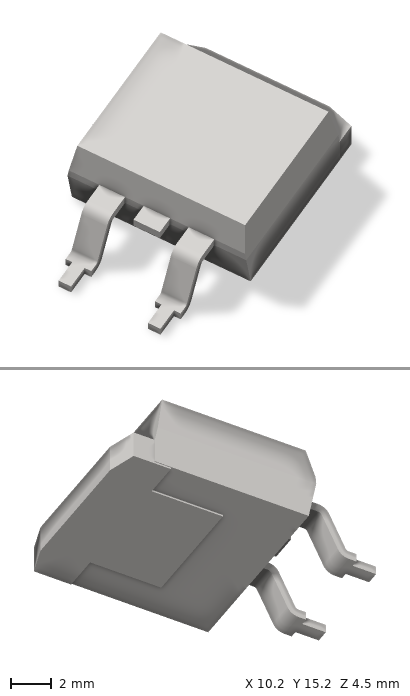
import cadquery as cq
import math


overall_length = 15.24
body_width = 10.16
body_top = 4.5
tab_rear = overall_length / 2
lead_end = -overall_length / 2

body_bottom = 0.1
body_rear = 5.98
rear_slope_bottom = 1.45
body_front = -3.06
top_rear = 5.395
top_front = -2.64
top_width = 9.54

tab_width = 10.08
tab_thickness = 1.5
tab_corner_length = 0.48
tab_tip_width = 7.04
tab_full_width_front = 5.06
pad_front = 1.08
pad_width = 6.22

lead_thickness = 0.48
lead_top = 2.8
lead_bottom = lead_top - lead_thickness
lead_pitch = 5.08
lead_width = 1.46
lead_tip_width = 0.71
lead_bend_start = -4.18
lead_shoulder = -6.31
bend_inner_radius = 0.2
bend_angle = math.radians(63.5)
centre_lead_width = 1.5
centre_lead_end = -4.04
lead_embed = 0.5


def block(width, y_front, y_rear, z_low, z_high, x_centre=0):
    """Box centred on x_centre, spanning the given Y and Z limits."""
    return (
        cq.Workplane("XY", origin=(x_centre, (y_front + y_rear) / 2, z_low))
        .box(width, y_rear - y_front, z_high - z_low, centered=(True, True, False))
    )


def make_body():
    """Body as the common volume of its side outline and its front outline."""
    side_outline = [
        (top_front, body_bottom),
        (body_front, lead_bottom),
        (body_front, lead_top),
        (top_front, body_top),
        (top_rear, body_top),
        (body_rear, rear_slope_bottom),
        (body_rear, body_bottom),
    ]
    front_outline = [
        (-body_width / 2, body_bottom),
        (-body_width / 2, lead_bottom),
        (-top_width / 2, body_top),
        (top_width / 2, body_top),
        (body_width / 2, lead_bottom),
        (body_width / 2, body_bottom),
    ]
    side_prism = cq.Workplane("YZ").polyline(side_outline).close().extrude(body_width / 2, both=True)
    front_prism = cq.Workplane("XZ").polyline(front_outline).close().extrude(overall_length / 2, both=True)
    return side_prism.intersect(front_prism)


def make_tab():
    """Rear tab with cut corners, plus the narrower pad exposed under the body."""
    corner_start = tab_rear - tab_corner_length
    plan = [
        (-tab_width / 2, tab_full_width_front),
        (-tab_width / 2, corner_start),
        (-tab_tip_width / 2, tab_rear),
        (tab_tip_width / 2, tab_rear),
        (tab_width / 2, corner_start),
        (tab_width / 2, tab_full_width_front),
    ]
    tab = cq.Workplane("XY").polyline(plan).close().extrude(tab_thickness)
    pad = block(pad_width, pad_front, tab_full_width_front, 0, tab_thickness)
    return tab.union(pad)


def make_gull_wing_lead(x_centre):
    """Lead strip swept along its bent centreline, ending in a narrow tip."""
    upper_z = lead_top - lead_thickness / 2
    lower_z = lead_thickness / 2
    drop = upper_z - lower_z
    bend_radius = bend_inner_radius + lead_thickness / 2
    bend_run = bend_radius * math.sin(bend_angle)
    bend_drop = bend_radius * (1 - math.cos(bend_angle))
    slope_drop = drop - 2 * bend_drop
    slope_run = slope_drop / math.tan(bend_angle)

    slope_start = lead_bend_start - bend_run
    slope_end = slope_start - slope_run
    foot_start = slope_end - bend_run
    strip_start = body_front + lead_embed

    centreline = (
        cq.Workplane("YZ", origin=(x_centre, 0, 0))
        .moveTo(strip_start, upper_z)
        .lineTo(lead_bend_start, upper_z)
        .tangentArcPoint((slope_start, upper_z - bend_drop), relative=False)
        .lineTo(slope_end, lower_z + bend_drop)
        .tangentArcPoint((foot_start, lower_z), relative=False)
        .lineTo(lead_shoulder, lower_z)
    )
    strip = (
        cq.Workplane("XZ", origin=(x_centre, strip_start, upper_z))
        .rect(lead_width, lead_thickness)
        .sweep(centreline)
    )
    tip = block(lead_tip_width, lead_end, lead_shoulder, 0, lead_thickness, x_centre)
    return strip.union(tip)


def make_centre_lead():
    """Short straight stub of the cropped centre lead."""
    return block(centre_lead_width, centre_lead_end, body_front + lead_embed, lead_bottom, lead_top)


result = make_body().union(make_tab()).union(make_centre_lead())
for side in (-1, 1):
    result = result.union(make_gull_wing_lead(side * lead_pitch / 2))